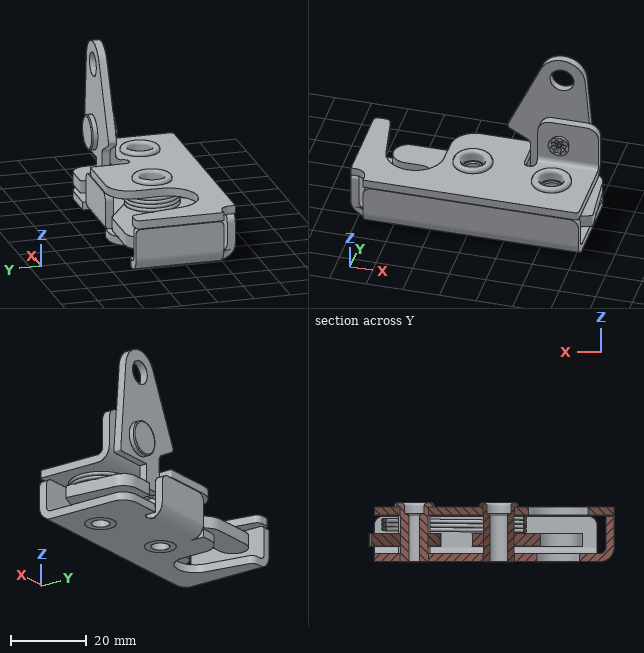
import cadquery as cq
import math


diagonal = math.sqrt(0.5)

sheet = 2.25
bend_inner = 1.6
bend_outer = bend_inner + sheet
body_length = 63.4
body_depth = 28.6
relief_size = 4.5
relief_radius = 3.05

slot_x = 14.8
slot_y = 15.4
slot_lean = math.radians(10)
housing_slot_radius = 5.7
housing_slot_flare = 5.8
housing_slot_corner = 1.95
cover_slot_radius = 7.8
cover_slot_flare = 6.65
cover_slot_corner = 1.6

wall_top = 12.1
cover_bottom = 12.3
cover_top = cover_bottom + sheet
mechanism_bottom = 4.1
mechanism_thickness = 3.4

front_wall_corner = 2.4
side_wall_corner = 1.15
back_wall_start = 29.1
back_wall_end = 47.55
back_wall_corner = 2.3
floor_notch_width = 3.1
floor_notch_y = 26.2
floor_back_corner = 4.2

rotor_pivot = (30.5, slot_y)
pawl_pivot = (52.8, 12.2)
bushing_diameter = 8.4
rim_diameter = 10.6
rim_height = 1.15
counterbore_diameter = 6.55
counterbore_floor = 12.75
bore_diameter = 5.0
bore_chamfer = 0.3

flange_left = 46.8
flange_top = 27.45
flange_corner = 3.4
flange_bend_y = 19.0
flange_front = flange_bend_y + bend_inner
flange_back = flange_front + sheet
flange_slot_width = 3.2
cover_front_corner = 1.05
cover_left_corner = 1.2
cover_back_corner = 0.65

rotor_slot_diameter = 9.5
rotor_slot_radius = rotor_slot_diameter / 2
rotor_lobe_x = 10.55
rotor_lobe_bottom = slot_y + rotor_slot_radius
rotor_lobe_radius = (body_depth - rotor_lobe_bottom) / 2
rotor_front = 3.05
rotor_jaw_x = 12.2
rotor_jaw_top = slot_y - rotor_slot_radius
rotor_jaw_radius = (rotor_jaw_top - rotor_front) / 2
rotor_shoulder_x = 22.0
rotor_shoulder_radius = 4.85
rotor_hub_radius = 7.1

pawl_tip_x = 64.7
pawl_tip_y = 9.45
pawl_tip_corner = 0.5
pawl_shoulder_y = 23.95
pawl_head_left = 52.65
pawl_head_corner = 0.85
pawl_back_corner = floor_back_corner
pawl_hub_radius = 7.1

lever_pivot_x = 52.8
lever_pivot_z = 20.9
lever_eye_z = 39.9
lever_eye_radius = 6.35
lever_eye_hole = 6.5
lever_nose = (37.65, 22.3)
lever_nose_corner = 1.15
lever_tongue_left = 44.2
lever_neck_z = 18.75
lever_neck_corner = 1.7
lever_tongue_right = 49.8
lever_tongue_bottom = 8.1
lever_heel = (61.4, 14.9)
lever_heel_corner = 0.5
lever_back = flange_back + sheet
rivet_shank = 5.0
rivet_head = 9.5
rivet_head_height = 1.6
rivet_head_chamfer = 0.3
rivet_collar = 0.3
rivet_tip_length = 1.35
rivet_tip_diameter = 5.6
star_points = 8
star_turn = 15.0
star_outer = 2.4
star_inner = 1.7
star_floor_outer = 0.5
star_depth = 0.8

wire_diameter = 1.05
spring_turns = 3
spring_pitch = 1.1
spring_start_z = 8.1
spring_rotor_radius = 7.0
spring_pawl_radius = 8.1


def block(x0, x1, y0, y1, z0, z1):
    return cq.Workplane("XY").box(x1 - x0, y1 - y0, z1 - z0, centered=False).translate((x0, y0, z0))


def on_circle(centre, radius, angle):
    return (centre[0] + radius * math.cos(angle), centre[1] + radius * math.sin(angle))


def upright_edge_at(x, y):
    """Selector for the vertical edge nearest to a point in plan, used after '|Z'."""
    return cq.NearestToPointSelector((x, y, cover_bottom))


def corner_relief(height):
    """Square cutter with one rounded corner for the front left bend relief."""
    cutter = block(0, relief_size, 0, relief_size, 0, height)
    return cutter.edges("|Z and >X and >Y").fillet(relief_radius)


def slot_left_tangent(radius):
    return on_circle((slot_x, slot_y), radius, math.pi + slot_lean)


def slot_left_mouth(radius):
    """X at which the leaning left side of the striker slot reaches the back edge."""
    x, y = slot_left_tangent(radius)
    return x - (body_depth - y) * math.tan(slot_lean)


def striker_slot(radius, flare, height):
    right = slot_x + radius
    flare_middle = flare * (1 - diagonal)
    return (
        cq.Workplane("XY")
        .moveTo(slot_left_mouth(radius), body_depth)
        .lineTo(*slot_left_tangent(radius))
        .threePointArc((slot_x, slot_y - radius), (right, slot_y))
        .lineTo(right, body_depth - flare)
        .threePointArc((right + flare_middle, body_depth - flare_middle), (right + flare, body_depth))
        .close()
        .extrude(height)
    )


def pivot_hole(pivot, height):
    return cq.Workplane("XY").center(*pivot).circle(bushing_diameter / 2).extrude(height)


def bent_wall(length):
    """Wall along +X with its outer face at Y = 0 and its bend running into the floor."""
    outer_middle = bend_outer * (1 - diagonal)
    inner_middle = bend_outer - bend_inner * diagonal
    return (
        cq.Workplane("YZ")
        .moveTo(bend_outer, 0)
        .threePointArc((outer_middle, outer_middle), (0, bend_outer))
        .lineTo(0, wall_top)
        .lineTo(sheet, wall_top)
        .lineTo(sheet, bend_outer)
        .threePointArc((inner_middle, inner_middle), (bend_outer, sheet))
        .close()
        .extrude(length)
    )


def floor_corner():
    """Floor under the corner relief, rounded below by both bends."""
    size = 2 * relief_size
    bends = block(0, size, 0, size, 0, size)
    bends = bends.edges("(<X and <Z) or (<Y and <Z)").fillet(bend_outer)
    return bends.intersect(block(0, relief_size, 0, relief_size, 0, sheet))


def make_housing():
    floor = block(bend_outer, body_length, bend_outer, body_depth, 0, sheet)
    floor = floor.edges("|Z and >X and >Y").fillet(floor_back_corner)
    floor = floor.cut(
        block(back_wall_start, back_wall_end, body_depth - bend_outer, body_depth, 0, sheet))

    notch_middle = back_wall_end + floor_notch_width / 2
    notch = block(back_wall_end, back_wall_end + floor_notch_width, floor_notch_y, body_depth, 0, sheet)
    notch = notch.union(
        cq.Workplane("XY").center(notch_middle, floor_notch_y).circle(floor_notch_width / 2).extrude(sheet))

    front_wall = bent_wall(body_length - relief_size).edges("|Y and >Z").fillet(front_wall_corner)
    front_wall = front_wall.translate((relief_size, 0, 0))

    left_wall = bent_wall(body_depth - relief_size).edges("|Y and >Z").fillet(side_wall_corner)
    left_wall = left_wall.rotate((0, 0, 0), (0, 0, 1), -90).translate((0, body_depth, 0))

    back_wall = bent_wall(back_wall_end - back_wall_start).edges("|Y and >Z").fillet(back_wall_corner)
    back_wall = back_wall.rotate((0, 0, 0), (0, 0, 1), 180).translate((back_wall_end, body_depth, 0))

    housing = floor.union(front_wall).union(left_wall).union(back_wall).union(floor_corner())
    housing = housing.cut(corner_relief(wall_top)).cut(notch)
    housing = housing.cut(striker_slot(housing_slot_radius, housing_slot_flare, wall_top))
    mouth = slot_left_mouth(housing_slot_radius)
    housing = housing.edges("|Z").edges(cq.NearestToPointSelector((mouth, body_depth, sheet / 2)))
    housing = housing.fillet(housing_slot_corner)
    for pivot in (rotor_pivot, pawl_pivot):
        housing = housing.cut(pivot_hole(pivot, sheet))
    return housing


def make_flange():
    bend_centre = (flange_bend_y, cover_top + bend_inner)
    bend_z = bend_centre[1]
    bend_middle = -math.pi / 4
    flange = (
        cq.Workplane("YZ")
        .moveTo(flange_bend_y, cover_bottom)
        .threePointArc(on_circle(bend_centre, bend_outer, bend_middle), (flange_back, bend_z))
        .lineTo(flange_back, flange_top)
        .lineTo(flange_front, flange_top)
        .lineTo(flange_front, bend_z)
        .threePointArc(on_circle(bend_centre, bend_inner, bend_middle), (flange_bend_y, cover_top))
        .close()
        .extrude(body_length - flange_left)
    )
    return flange.edges("|Y and >Z").fillet(flange_corner).translate((flange_left, 0, 0))


def make_cover():
    slot_left = flange_left - flange_slot_width
    plate = block(0, body_length, 0, body_depth, cover_bottom, cover_top)
    plate = plate.cut(block(slot_left, body_length, flange_bend_y, body_depth, cover_bottom, cover_top))
    plate = plate.cut(
        cq.Workplane("XY").center(slot_left + flange_slot_width / 2, flange_bend_y)
        .circle(flange_slot_width / 2).extrude(cover_top))
    plate = plate.cut(striker_slot(cover_slot_radius, cover_slot_flare, cover_top))
    plate = plate.cut(corner_relief(cover_top))

    corners = (
        (slot_left_mouth(cover_slot_radius), body_depth, cover_slot_corner),
        (0, body_depth, cover_left_corner),
        (slot_left, body_depth, cover_back_corner),
        (body_length, 0, cover_front_corner),
    )
    for x, y, radius in corners:
        plate = plate.edges("|Z").edges(upright_edge_at(x, y)).fillet(radius)

    cover = plate.union(make_flange())
    for pivot in (rotor_pivot, pawl_pivot):
        cover = cover.cut(pivot_hole(pivot, cover_top))
    return cover.cut(rivet_hole())


def make_bushing(pivot):
    rim_outer = rim_diameter / 2
    counterbore = counterbore_diameter / 2
    bore = bore_diameter / 2
    rim_round = (rim_outer - counterbore) / 2
    rim_base = cover_top + rim_height - rim_round
    return (
        cq.Workplane("XZ")
        .moveTo(bore, 0)
        .lineTo(bushing_diameter / 2, 0)
        .lineTo(bushing_diameter / 2, cover_top)
        .lineTo(rim_outer, cover_top)
        .lineTo(rim_outer, rim_base)
        .threePointArc((rim_outer - rim_round, rim_base + rim_round), (counterbore, rim_base))
        .lineTo(counterbore, counterbore_floor)
        .lineTo(bore + bore_chamfer, counterbore_floor)
        .lineTo(bore, counterbore_floor - bore_chamfer)
        .close()
        .revolve(360, (0, 0, 0), (0, 1, 0))
        .translate((*pivot, 0))
    )


def make_rotor():
    hub_x, hub_y = rotor_pivot
    lobe_y = rotor_lobe_bottom + rotor_lobe_radius
    jaw_y = rotor_jaw_top - rotor_jaw_radius
    shoulder_centre = (rotor_shoulder_x, body_depth - rotor_shoulder_radius)
    shoulder_start = math.radians(45)
    shoulder_middle = (shoulder_start + math.pi / 2) / 2
    hub = rotor_hub_radius * diagonal
    rotor = (
        cq.Workplane("XY")
        .moveTo(rotor_lobe_x, body_depth)
        .threePointArc((rotor_lobe_x - rotor_lobe_radius, lobe_y), (rotor_lobe_x, rotor_lobe_bottom))
        .lineTo(slot_x, rotor_lobe_bottom)
        .threePointArc((slot_x + rotor_slot_radius, slot_y), (slot_x, rotor_jaw_top))
        .lineTo(rotor_jaw_x, rotor_jaw_top)
        .threePointArc((rotor_jaw_x - rotor_jaw_radius, jaw_y), (rotor_jaw_x, rotor_front))
        .lineTo(hub_x, rotor_front)
        .lineTo(hub_x + hub, hub_y - hub)
        .threePointArc((hub_x + rotor_hub_radius, hub_y), (hub_x + hub, hub_y + hub))
        .lineTo(*on_circle(shoulder_centre, rotor_shoulder_radius, shoulder_start))
        .threePointArc(
            on_circle(shoulder_centre, rotor_shoulder_radius, shoulder_middle),
            (rotor_shoulder_x, body_depth))
        .close()
        .extrude(mechanism_thickness)
        .translate((0, 0, mechanism_bottom))
    )
    return rotor.cut(pivot_hole(rotor_pivot, cover_top))


def make_pawl():
    hub_x, hub_y = pawl_pivot
    tip_middle = pawl_tip_corner * (1 - diagonal)
    pawl = (
        cq.Workplane("XY")
        .moveTo(pawl_head_left, body_depth)
        .lineTo(pawl_head_left, hub_y + pawl_hub_radius)
        .threePointArc((hub_x - pawl_hub_radius, hub_y), (hub_x, hub_y - pawl_hub_radius))
        .lineTo(pawl_tip_x - pawl_tip_corner, pawl_tip_y)
        .threePointArc(
            (pawl_tip_x - tip_middle, pawl_tip_y + tip_middle), (pawl_tip_x, pawl_tip_y + pawl_tip_corner))
        .lineTo(body_length, pawl_shoulder_y)
        .lineTo(body_length, body_depth)
        .close()
        .extrude(mechanism_thickness)
    )
    corners = (
        (pawl_head_left, body_depth, pawl_head_corner),
        (body_length, body_depth, pawl_back_corner),
    )
    for x, y, radius in corners:
        pawl = pawl.edges("|Z").edges(upright_edge_at(x, y)).fillet(radius)
    pawl = pawl.translate((0, 0, mechanism_bottom))
    return pawl.cut(pivot_hole(pawl_pivot, cover_top))


def rivet_hole():
    return (
        cq.Workplane("XZ").center(lever_pivot_x, lever_pivot_z)
        .circle(rivet_shank / 2).extrude(-body_depth)
    )


def eye_tangent(point, side):
    """Point where a line from the given point touches the lever's eye, on side +1 or -1."""
    away_x = point[0] - lever_pivot_x
    away_z = point[1] - lever_eye_z
    angle = math.atan2(away_z, away_x) + side * math.acos(lever_eye_radius / math.hypot(away_x, away_z))
    return on_circle((lever_pivot_x, lever_eye_z), lever_eye_radius, angle)


def make_lever():
    lever = (
        cq.Workplane("XZ")
        .moveTo(*lever_nose)
        .lineTo(*eye_tangent(lever_nose, -1))
        .threePointArc((lever_pivot_x, lever_eye_z + lever_eye_radius), eye_tangent(lever_heel, 1))
        .lineTo(*lever_heel)
        .lineTo(lever_tongue_right, lever_heel[1])
        .lineTo(lever_tongue_right, lever_tongue_bottom)
        .lineTo(lever_tongue_left, lever_tongue_bottom)
        .lineTo(lever_tongue_left, lever_neck_z)
        .close()
        .extrude(-sheet)
    )
    corners = (
        (*lever_nose, lever_nose_corner),
        (lever_tongue_left, lever_neck_z, lever_neck_corner),
        (*lever_heel, lever_heel_corner),
    )
    for x, z, radius in corners:
        lever = lever.edges("|Y").edges(cq.NearestToPointSelector((x, sheet / 2, z))).fillet(radius)
    lever = lever.translate((0, flange_back, 0))
    eye_hole = (
        cq.Workplane("XZ").center(lever_pivot_x, lever_eye_z)
        .circle(lever_eye_hole / 2).extrude(-body_depth)
    )
    return lever.cut(eye_hole).cut(rivet_hole())


def star_outline(outer, inner):
    points = []
    for i in range(2 * star_points):
        angle = math.radians(star_turn + i * 180 / star_points)
        radius = outer if i % 2 == 0 else inner
        points.append(on_circle((0, 0), radius, angle))
    return points


def make_rivet():
    tip_y = flange_front - rivet_tip_length
    head_y = lever_back + rivet_head_height
    shank = rivet_shank / 2
    head = rivet_head / 2
    body = (
        cq.Workplane("XY")
        .moveTo(0, tip_y)
        .lineTo(rivet_tip_diameter / 2, tip_y)
        .lineTo(shank, flange_front - rivet_collar)
        .lineTo(shank, lever_back)
        .lineTo(head, lever_back)
        .lineTo(head, head_y - rivet_head_chamfer)
        .lineTo(head - rivet_head_chamfer, head_y)
        .lineTo(0, head_y)
        .close()
        .revolve(360, (0, 0, 0), (0, 1, 0))
    )
    star_floor_inner = star_floor_outer * star_inner / star_outer
    star = (
        cq.Workplane("XZ", origin=(0, tip_y, 0))
        .polyline(star_outline(star_outer, star_inner)).close()
        .workplane(offset=-star_depth)
        .polyline(star_outline(star_floor_outer, star_floor_inner)).close()
        .loft(ruled=True)
    )
    return body.cut(star).translate((lever_pivot_x, 0, lever_pivot_z))


def make_spring():
    span_x = pawl_pivot[0] - rotor_pivot[0]
    span_y = pawl_pivot[1] - rotor_pivot[1]
    span = math.hypot(span_x, span_y)
    growth = spring_pawl_radius - spring_rotor_radius
    straight = math.sqrt(span ** 2 - growth ** 2)
    axis_angle = math.atan2(span_y, span_x)
    tangent_angle = math.pi / 2 + math.asin(growth / span)
    pawl_sweep = 2 * tangent_angle
    rotor_sweep = 2 * math.pi - pawl_sweep
    turn_length = 2 * straight + pawl_sweep * spring_pawl_radius + rotor_sweep * spring_rotor_radius
    rise = spring_pitch / turn_length

    def arc(pivot, radius, start, sweep, z):
        height = rise * radius * sweep
        helix = cq.Wire.makeHelix(height * 2 * math.pi / sweep, height, radius).Edges()[0]
        helix = helix.rotate(cq.Vector(0, 0, 0), cq.Vector(0, 0, 1), math.degrees(start))
        return helix.translate(cq.Vector(*pivot, z))

    def run(start_pivot, start_radius, end_pivot, end_radius, angle, z):
        start = cq.Vector(*on_circle(start_pivot, start_radius, angle), z)
        end = cq.Vector(*on_circle(end_pivot, end_radius, angle), z + rise * straight)
        return cq.Edge.makeLine(start, end)

    front_angle = axis_angle - tangent_angle
    back_angle = axis_angle + tangent_angle
    rotor_side = (rotor_pivot, spring_rotor_radius)
    pawl_side = (pawl_pivot, spring_pawl_radius)
    rotor_rise = rise * spring_rotor_radius * rotor_sweep
    pawl_rise = rise * spring_pawl_radius * pawl_sweep
    run_rise = rise * straight

    edges = [arc(*rotor_side, back_angle, rotor_sweep, spring_start_z)]
    z = spring_start_z + rotor_rise
    for _ in range(spring_turns):
        edges.append(run(*rotor_side, *pawl_side, front_angle, z))
        z += run_rise
        edges.append(arc(*pawl_side, front_angle, pawl_sweep, z))
        z += pawl_rise
        edges.append(run(*pawl_side, *rotor_side, back_angle, z))
        z += run_rise
        edges.append(arc(*rotor_side, back_angle, rotor_sweep, z))
        z += rotor_rise
    path = cq.Wire.assembleEdges(edges)
    section = cq.Plane(origin=path.startPoint(), normal=edges[0].tangentAt(0))
    return cq.Workplane(section).circle(wire_diameter / 2).sweep(cq.Workplane(path), isFrenet=False)


housing = make_housing()
cover = make_cover()
bushings = [make_bushing(pivot) for pivot in (rotor_pivot, pawl_pivot)]
rotor = make_rotor()
pawl = make_pawl()
lever = make_lever()
rivet = make_rivet()
spring = make_spring()

result = cq.Compound.makeCompound([
    housing.val(),
    cover.val(),
    *[bushing.val() for bushing in bushings],
    rotor.val(),
    pawl.val(),
    lever.val(),
    rivet.val(),
    spring.val(),
])